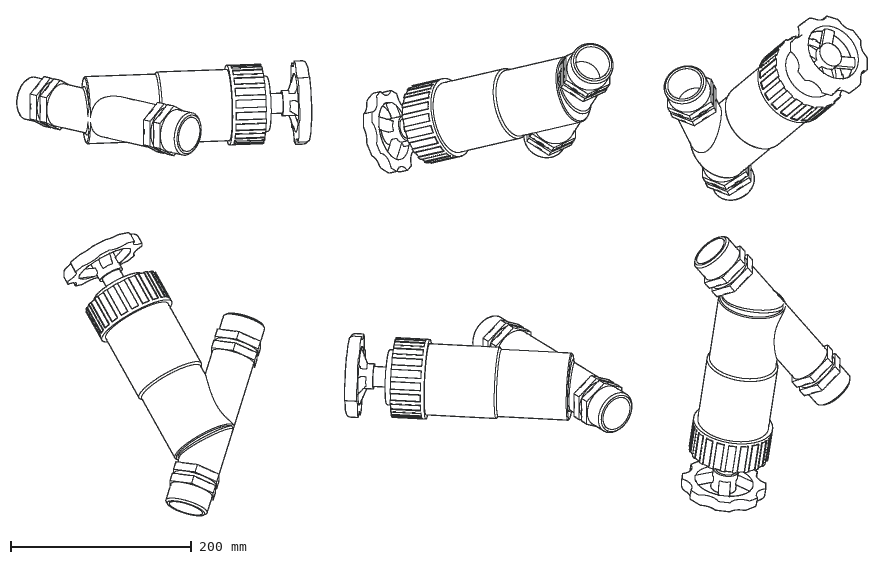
import cadquery as cq
import math


pipe_d = 48.0
pipe_length = 225.2
inlet_length = 76.5
pipe_chamfer = 2.3
bore_d = 38.3
hex_flats = 50.0
hex_width = 9.0
hex_starts = (21.5, 35.2)
bore_depth = hex_starts[-1] + hex_width

lower_d = 74.5
upper_d = 79.0
body_bottom = 2.3
body_bottom_chamfer = 1.28
step_height = 81.0
junction_chamfer = 2.0

cap_d = 88.5
cap_bottom = 161.0
cap_top = 198.5
cap_plain_rim = 4.0
groove_count = 20
groove_width = 8.5
groove_depth = 1.5

gland_d = 61.5
gland_top = 206.0
gland_fillet = 2.3
stem_d = 22.5

hub_d = 28.0
hub_bottom = 221.2
hub_top = 244.0
rim_bottom = 235.7
rim_top = 249.5
rim_flats = 93.0
rim_hole_d = 64.7
rim_fillet = 5.7
lobe_count = 8
scallop_r = 16.7
scallop_floor_r = 40.3
scallop_edge_fillet = 0.9
spoke_count = 4
spoke_width = 12.5
spoke_bottom_at_hub = 229.0
spoke_thickness = 6.8
spoke_fillet = 1.5
spoke_overlap = 0.9

pipe_start = -inlet_length
pipe_end = pipe_length - inlet_length
axis_direction = (1, 1, 0)
across_direction = (1, -1, 0)

along_axis = cq.selectors.ParallelDirSelector(cq.Vector(axis_direction))
highest = cq.selectors.DirectionMinMaxSelector(cq.Vector(axis_direction), True)
lowest = cq.selectors.DirectionMinMaxSelector(cq.Vector(axis_direction), False)

profile_plane = cq.Plane(origin=(0, 0, 0), xDir=across_direction, normal=(0, 0, 1))


def body_plane(height):
    """Plane square to the body axis at the given height."""
    along = height / math.sqrt(2)
    return cq.Plane(origin=(along, along, 0), xDir=across_direction, normal=axis_direction)


def body_cylinder(diameter, bottom, top):
    return cq.Workplane(body_plane(bottom)).circle(diameter / 2).extrude(top - bottom)


def ring_angles(count):
    return [i * 360 / count for i in range(count)]


def turned(shape, angle):
    """Shape turned about the body axis."""
    return shape.rotate((0, 0, 0), axis_direction, angle)


def pipe_plane(x):
    return cq.Workplane("YZ", origin=(x, 0, 0))


def make_pipe():
    pipe = pipe_plane(pipe_start).circle(pipe_d / 2).extrude(pipe_length)
    pipe = pipe.faces("<X or >X").chamfer(pipe_chamfer)
    hex_corners = hex_flats / math.cos(math.radians(30))
    for start in hex_starts:
        for x in (pipe_start + start, pipe_end - start - hex_width):
            hexagon = pipe_plane(x).transformed(rotate=(0, 0, 90)).polygon(6, hex_corners)
            pipe = pipe.union(hexagon.extrude(hex_width))
    return pipe


def make_bores():
    inlet = pipe_plane(pipe_start).circle(bore_d / 2).extrude(bore_depth)
    outlet = pipe_plane(pipe_end).circle(bore_d / 2).extrude(-bore_depth)
    return inlet.union(outlet)


def make_body():
    """Stepped body, turned from a half profile: local x is the radius, local y the height."""
    lower_r = lower_d / 2
    upper_r = upper_d / 2
    return (
        cq.Workplane(profile_plane)
        .polyline([
            (0, body_bottom),
            (lower_r - body_bottom_chamfer, body_bottom),
            (lower_r, body_bottom + body_bottom_chamfer),
            (lower_r, step_height),
            (upper_r, step_height + upper_r - lower_r),
            (upper_r, cap_bottom),
            (0, cap_bottom),
        ])
        .close()
        .revolve(360, (0, 0, 0), (0, 1, 0))
    )


def join_pipe_and_body():
    """Pipe and body as one, with the seam around the pipe on the body's end face bevelled."""
    joined = make_pipe().union(make_body())
    end_face = joined.faces(along_axis).faces(lowest)
    return end_face.edges("%ELLIPSE").chamfer(junction_chamfer)


def make_cap():
    """Cap with grooves that run out at its top and leave a plain rim at its bottom."""
    cap = body_cylinder(cap_d, cap_bottom, cap_top)
    groove_bottom = cap_bottom + cap_plain_rim
    groove = (
        cq.Workplane(body_plane(groove_bottom))
        .center(0, cap_d / 2)
        .rect(groove_width, 2 * groove_depth)
        .extrude(cap_top - groove_bottom)
    )
    for angle in ring_angles(groove_count):
        cap = cap.cut(turned(groove, angle))
    return cap


def make_gland_and_stem():
    gland = body_cylinder(gland_d, cap_top, gland_top)
    gland = gland.faces(highest).edges().fillet(gland_fillet)
    return gland.union(body_cylinder(stem_d, gland_top, hub_bottom))


def make_rim():
    """Polygonal rim with a rounded top edge; scallops cut off its corners and leave flat lobes."""
    half_sector = 180 / lobe_count
    rim = (
        cq.Workplane(body_plane(rim_bottom))
        .transformed(rotate=(0, 0, half_sector))
        .polygon(lobe_count, rim_flats / math.cos(math.radians(half_sector)))
        .extrude(rim_top - rim_bottom)
    )
    rim = rim.faces(highest).edges().fillet(rim_fillet)
    scallop = (
        cq.Workplane(body_plane(rim_bottom))
        .center(scallop_floor_r + scallop_r, 0)
        .circle(scallop_r)
        .extrude(rim_top - rim_bottom)
    )
    for angle in ring_angles(lobe_count):
        rim = rim.cut(turned(scallop, angle + half_sector))
    rim = rim.edges(along_axis).fillet(scallop_edge_fillet)
    return rim.cut(body_cylinder(rim_hole_d, rim_bottom, rim_top))


def make_spoke():
    """Sloping bar from inside the hub to just inside the rim, with rounded lower edges."""
    hub_r = hub_d / 2
    rim_hole_r = rim_hole_d / 2
    hub_end = hub_r / 2
    rim_end = rim_hole_r + spoke_overlap
    slope = (rim_bottom - spoke_bottom_at_hub) / (rim_hole_r - hub_r)
    start = spoke_bottom_at_hub - slope * (hub_r - hub_end)
    end = rim_bottom + slope * spoke_overlap
    underside_middle = profile_plane.toWorldCoords(((hub_end + rim_end) / 2, (start + end) / 2))
    return (
        cq.Workplane(profile_plane)
        .polyline([
            (hub_end, start),
            (rim_end, end),
            (rim_end, end + spoke_thickness),
            (hub_end, start + spoke_thickness),
        ])
        .close()
        .extrude(spoke_width / 2, both=True)
        .faces(cq.selectors.NearestToPointSelector(underside_middle.toTuple()))
        .edges("#Z")
        .fillet(spoke_fillet)
    )


def make_handwheel():
    wheel = make_rim().union(body_cylinder(hub_d, hub_bottom, hub_top))
    spoke = make_spoke()
    for angle in ring_angles(spoke_count):
        wheel = wheel.union(turned(spoke, angle))
    return wheel


result = (
    join_pipe_and_body()
    .cut(make_bores())
    .union(make_cap())
    .union(make_gland_and_stem())
    .union(make_handwheel())
)